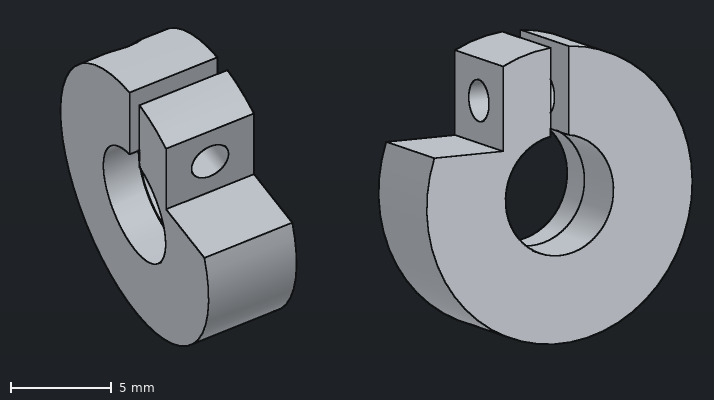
import cadquery as cq

outer_diameter = 14.99
thickness = 5.0
bore_diameter = 6.09
relief_diameter = 6.3
relief_depth = 2.0
slot_width = 1.0
notch_x = 3.2
notch_z = 2.5
screw_hole_diameter = 2.1
screw_hole_z = 4.65

outer_radius = outer_diameter / 2
front_y = -thickness / 2


def cylinder_from_front(diameter, length):
    """Cylinder on the collar axis, running from the front face toward +Y."""
    axis = cq.Vector(0, 1, 0)
    start = cq.Vector(0, front_y, 0)
    return cq.Workplane(cq.Solid.makeCylinder(diameter / 2, length, start, axis))


collar = cylinder_from_front(outer_diameter, thickness)
collar = collar.cut(cylinder_from_front(bore_diameter, thickness))
collar = collar.cut(cylinder_from_front(relief_diameter, relief_depth))

split = cq.Workplane("XY").box(slot_width, thickness, outer_radius, centered=(True, True, False))

notch = (
    cq.Workplane("XY")
    .box(outer_radius, thickness, outer_radius, centered=(False, True, False))
    .translate((notch_x, 0, notch_z))
)

screw_hole = (
    cq.Workplane("YZ")
    .center(0, screw_hole_z)
    .circle(screw_hole_diameter / 2)
    .extrude(outer_radius, both=True)
)

result = collar.cut(split).cut(notch).cut(screw_hole)